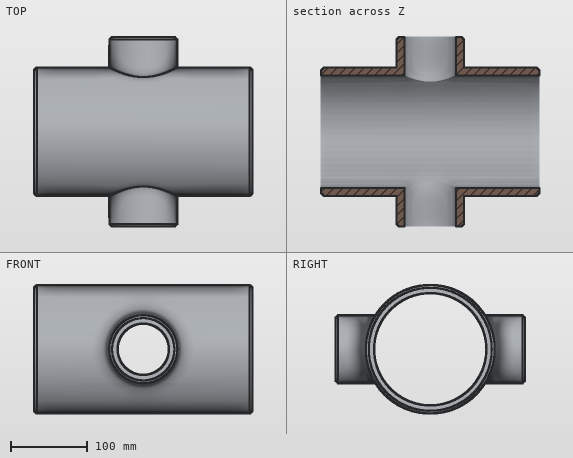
import cadquery as cq

run_length = 285.5
run_diameter = 168.28
run_wall = 10.97

branch_span = 247.9
branch_diameter = 88.9
branch_wall = 11.13

end_bevel = 3.8

run_plane = "YZ"
branch_plane = "XZ"


def centred_cylinder(plane, diameter, length):
    """Cylinder centred on the origin, its axis normal to the given plane."""
    return cq.Workplane(plane).circle(diameter / 2).extrude(length / 2, both=True)


def bevelled_bar(plane, diameter, length):
    """Solid bar with the outer edge of both ends bevelled."""
    return centred_cylinder(plane, diameter, length).edges("%CIRCLE").chamfer(end_bevel)


def pipe_bore(plane, diameter, wall, length):
    """Core whose removal leaves the given wall thickness in the pipe."""
    return centred_cylinder(plane, diameter - 2 * wall, length)


outer_body = bevelled_bar(run_plane, run_diameter, run_length).union(
    bevelled_bar(branch_plane, branch_diameter, branch_span)
)
run_bore = pipe_bore(run_plane, run_diameter, run_wall, run_length)
branch_bore = pipe_bore(branch_plane, branch_diameter, branch_wall, branch_span)

result = outer_body.cut(run_bore).cut(branch_bore)